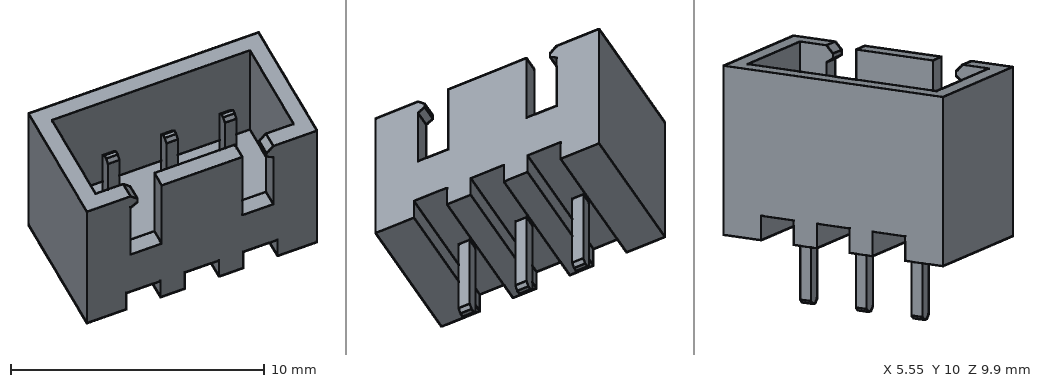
import cadquery as cq

HOUSING_WIDTH = 5.55
HOUSING_LENGTH = 10.0
HOUSING_HEIGHT = 6.9
WALL = 0.7
FLOOR_TOP = 2.0

OPENING_LENGTH = 6.2
OPENING_DEPTH = 3.6
TONGUE_LENGTH = 3.5

LIP_REACH = 0.3
LIP_TOP_SLOPE = 0.3
LIP_NOSE = 0.2
LIP_BOTTOM_SLOPE = 0.2

PIN_COUNT = 3
PIN_PITCH = 2.54
PIN_SIZE = 0.5
PIN_X = 2.47
PIN_CHAMFER = 0.16
PIN_BELOW = 3.0
PIN_TOP = HOUSING_HEIGHT - 1.1

NOTCH_LENGTH = 1.48
NOTCH_HEIGHT = 1.0

PIN_POSITIONS = [(i - (PIN_COUNT - 1) / 2) * PIN_PITCH for i in range(PIN_COUNT)]


def block(x_min, x_max, y_center, y_length, z_min, z_max):
    """Box given by its X and Z limits and its Y centre and length."""
    return (
        cq.Workplane("XY")
        .box(x_max - x_min, y_length, z_max - z_min, centered=(False, True, False))
        .translate((x_min, y_center, z_min))
    )


def make_pin(y):
    """Square pin with both ends chamfered on the -X and +X sides."""
    pin = block(PIN_X - PIN_SIZE / 2, PIN_X + PIN_SIZE / 2, y, PIN_SIZE, -PIN_BELOW, PIN_TOP)
    return pin.faces("<Z or >Z").edges("|Y").chamfer(PIN_CHAMFER)


def make_lip(side):
    """Lip at the rim on one end of the opening; side is +1 or -1 along Y."""
    root = side * OPENING_LENGTH / 2
    nose = side * (OPENING_LENGTH / 2 - LIP_REACH)
    nose_top = HOUSING_HEIGHT - LIP_TOP_SLOPE
    nose_bottom = nose_top - LIP_NOSE
    profile = [
        (root, HOUSING_HEIGHT),
        (nose, nose_top),
        (nose, nose_bottom),
        (root, nose_bottom - LIP_BOTTOM_SLOPE),
    ]
    return (
        cq.Workplane("YZ", origin=(HOUSING_WIDTH - WALL, 0, 0))
        .polyline(profile)
        .close()
        .extrude(WALL)
    )


def make_housing():
    """Open-topped box with a split +X wall, underside notches and pin holes."""
    inner_x = HOUSING_WIDTH - WALL
    body = block(0, HOUSING_WIDTH, 0, HOUSING_LENGTH, 0, HOUSING_HEIGHT)

    body = body.cut(block(WALL, inner_x, 0, HOUSING_LENGTH - 2 * WALL, FLOOR_TOP, HOUSING_HEIGHT))

    opening_floor = HOUSING_HEIGHT - OPENING_DEPTH
    opening = block(inner_x, HOUSING_WIDTH, 0, OPENING_LENGTH, opening_floor, HOUSING_HEIGHT)
    tongue = block(inner_x, HOUSING_WIDTH, 0, TONGUE_LENGTH, opening_floor, HOUSING_HEIGHT)
    body = body.cut(opening.cut(tongue))

    for side in (-1, 1):
        body = body.union(make_lip(side))

    for y in PIN_POSITIONS:
        body = body.cut(block(0, HOUSING_WIDTH, y, NOTCH_LENGTH, 0, NOTCH_HEIGHT))
        body = body.cut(make_pin(y))
    return body


housing = make_housing()
pins = [make_pin(y) for y in PIN_POSITIONS]

result = cq.Compound.makeCompound([housing.solids().val(), *[pin.solids().val() for pin in pins]])